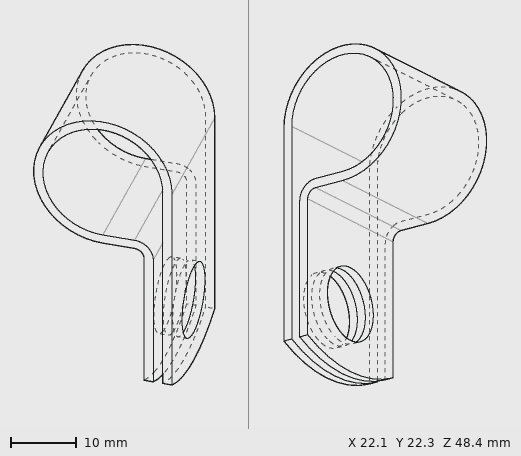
import cadquery as cq
import math

total_height = 48.35
band_width = 22.25
loop_diameter = 22.1
thickness = 1.5
leg_gap = 1.5
bend_inner_radius = 1.5
hole_diameter = 11.9
hole_height = 11.05
end_arc_rise = 2.5

outer_radius = loop_diameter / 2
inner_radius = outer_radius - thickness
loop_z = total_height - outer_radius
bend_outer_radius = bend_inner_radius + thickness
short_leg_right = inner_radius - leg_gap
short_leg_left = short_leg_right - thickness
bend_x = short_leg_right - bend_outer_radius
shelf_top = loop_z - inner_radius
shelf_bottom = loop_z - outer_radius
bend_z = shelf_top - bend_outer_radius
half_width = band_width / 2
diagonal = math.sqrt(0.5)


def bent_strip():
    """Strip of constant thickness: long leg, loop, shelf, bend and short leg."""
    profile = (
        cq.Workplane("XZ")
        .moveTo(outer_radius, 0)
        .lineTo(outer_radius, loop_z)
        .threePointArc(
            (-outer_radius * diagonal, loop_z + outer_radius * diagonal),
            (0, shelf_bottom),
        )
        .lineTo(bend_x, shelf_bottom)
        .threePointArc(
            (bend_x + bend_inner_radius * diagonal, bend_z + bend_inner_radius * diagonal),
            (short_leg_left, bend_z),
        )
        .lineTo(short_leg_left, 0)
        .lineTo(short_leg_right, 0)
        .lineTo(short_leg_right, bend_z)
        .threePointArc(
            (bend_x + bend_outer_radius * diagonal, bend_z + bend_outer_radius * diagonal),
            (bend_x, shelf_top),
        )
        .lineTo(0, shelf_top)
        .threePointArc(
            (-inner_radius * diagonal, loop_z + inner_radius * diagonal),
            (inner_radius, loop_z),
        )
        .lineTo(inner_radius, 0)
        .close()
    )
    return profile.extrude(half_width, both=True)


def rounded_end_outline():
    """Solid through X whose bottom edge is the shallow arc of the leg tips."""
    return (
        cq.Workplane("YZ")
        .moveTo(-half_width, end_arc_rise)
        .threePointArc((0, 0), (half_width, end_arc_rise))
        .lineTo(half_width, total_height)
        .lineTo(-half_width, total_height)
        .close()
        .extrude(loop_diameter, both=True)
    )


def bolt_hole():
    """Cylinder along X that passes through both legs."""
    return (
        cq.Workplane("YZ")
        .center(0, hole_height)
        .circle(hole_diameter / 2)
        .extrude(loop_diameter, both=True)
    )


result = bent_strip().intersect(rounded_end_outline()).cut(bolt_hole())